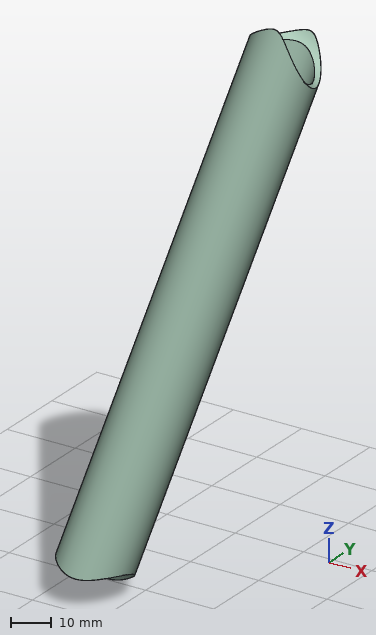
import cadquery as cq

outer_diameter = 20.0
wall = 1.5
inner_diameter = outer_diameter - 2 * wall

top_node = cq.Vector(12.1, 29.9, 67.3)
bottom_node = cq.Vector(-12.1, -32.4, -74.8)

top_saddle_diameter = 20.6
top_saddle_axis = cq.Vector(1, -0.09, -0.46)
bottom_saddle_diameter = 27.8
bottom_saddle_axis = cq.Vector(1, 0.1, -0.11)
saddle_length = 83.5


def cylinder_along(diameter, start, direction, length):
    """Solid cylinder from a start point along a direction."""
    return cq.Workplane(cq.Solid.makeCylinder(diameter / 2, length, start, direction))


def saddle_cutter(node, axis, diameter):
    """Crossing cylinder centred on a node."""
    start = node - axis.normalized() * (saddle_length / 2)
    return cylinder_along(diameter, start, axis, saddle_length)


span = top_node - bottom_node
tube = cylinder_along(outer_diameter, bottom_node, span, span.Length)
bore = cylinder_along(inner_diameter, bottom_node, span, span.Length)

result = (
    tube.cut(bore)
    .cut(saddle_cutter(top_node, top_saddle_axis, top_saddle_diameter))
    .cut(saddle_cutter(bottom_node, bottom_saddle_axis, bottom_saddle_diameter))
)